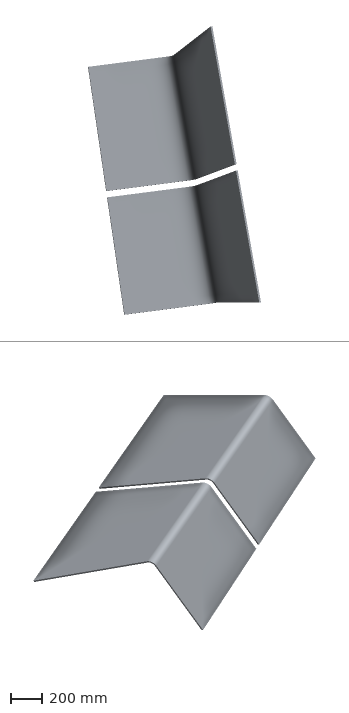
import cadquery as cq
import math

thickness = 12.0
inner_bend_radius = 35.0
outer_bend_radius = inner_bend_radius + thickness

flange_slope = 58.2
plate_turn = 3.3
corner_y = 567.0

plate_width = 960.0
upper_flange_length = 807.0
sheet_gap = 41.0
lower_flange_length = 762
upper_corner_overhang = 92.0
lower_corner_overhang = 100.0

stock_margin = 391

slope = math.radians(flange_slope)
turn = math.radians(plate_turn)
along = cq.Vector(math.cos(slope), 0, -math.sin(slope))
across = cq.Vector(math.sin(slope), 0, math.cos(slope))
bend_axis = cq.Vector(along.x, along.x * math.tan(turn), along.z).normalized()
corner = cq.Vector(0, corner_y, 0)

lower_start = upper_flange_length + sheet_gap
lower_end = lower_start + lower_flange_length


def bent_stock():
    """Oversized L-shaped sheet: flange towards -Y, plate rising gently towards +X."""
    length = lower_end + 2 * stock_margin
    leg = plate_width + stock_margin
    rise = math.tan(math.asin(math.sin(turn) * across.x))
    inner_corner_y = rise * thickness - thickness * math.hypot(1, rise)

    section = cq.Plane(corner + bend_axis * (lower_end + stock_margin), across, -bend_axis)
    profile = [
        (0, 0),
        (leg, rise * leg),
        (leg, rise * leg - thickness * math.hypot(1, rise)),
        (thickness, inner_corner_y),
        (thickness, -leg),
        (0, -leg),
    ]
    outer_bend = section.toWorldCoords((0, 0, length / 2))
    inner_bend = section.toWorldCoords((thickness, inner_corner_y, length / 2))
    stock = cq.Workplane(section).polyline(profile).close().extrude(length)
    stock = stock.edges(cq.selectors.NearestToPointSelector(outer_bend.toTuple())).fillet(outer_bend_radius)
    return stock.edges(cq.selectors.NearestToPointSelector(inner_bend.toTuple())).fillet(inner_bend_radius)


def bent_sheet(start, end, outer_start, outer_end):
    """Trim the stock: square-ended flange and bend, then a plate running to its two outer corners."""
    outline = [
        (start, 0),
        (start, outer_bend_radius),
        (outer_start, plate_width),
        (outer_end, plate_width),
        (end, outer_bend_radius),
        (end, 0),
    ]
    flange_edge = cq.Plane((0, 0, 0), along, (0, -1, 0))
    trim = cq.Workplane(flange_edge).polyline(outline).close().extrude(-(corner_y + stock_margin))
    return bent_stock().intersect(trim)


upper_sheet = bent_sheet(0, upper_flange_length, -upper_corner_overhang, upper_flange_length)
lower_sheet = bent_sheet(lower_start, lower_end, lower_start, lower_end + lower_corner_overhang)

result = cq.Compound.makeCompound([upper_sheet.val(), lower_sheet.val()])